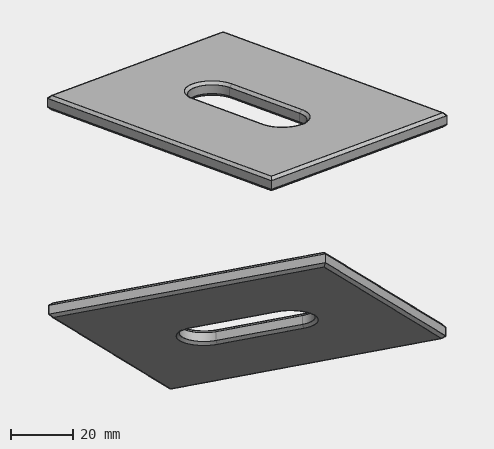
import cadquery as cq

plate_length = 101.6
plate_width = 80.0
plate_thickness = 5.0

slot_length = 47.625
slot_width = 15.875

rim_chamfer = 1.0


def make_plate():
    return cq.Workplane("XY").box(
        plate_length, plate_width, plate_thickness, centered=(True, True, False)
    )


def cut_slot(plate):
    slot = (
        cq.Workplane("XY")
        .slot2D(slot_length, slot_width)
        .extrude(plate_thickness)
    )
    return plate.cut(slot)


def chamfer_rims(plate):
    return plate.faces("<Z or >Z").edges().chamfer(rim_chamfer)


result = chamfer_rims(cut_slot(make_plate()))